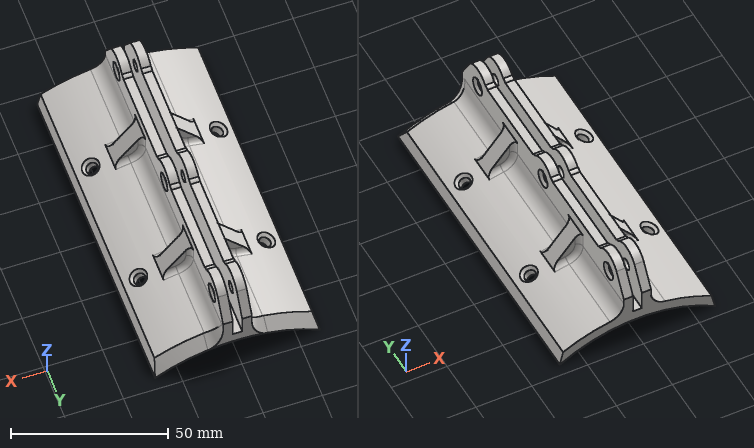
import cadquery as cq
import math

length = 112.0
height = 30.2

base_width = 55.7
base_top_width = 53.3
base_rise = 8.0
base_thickness = 4.0

upright_width = 9.7
slot_width = 3.1
slot_floor_height = 12.0
root_radius = 6.0
upright_height = 27.1
end_height = 19.0
lug_radius = 7.0
lug_blend_radius = 2.0
lug_spacing = 45.2
lug_shoulder_offset = 5.6

rib_width = 6.2
rib_fillet = 1.9
rib_spacing = lug_spacing
rib_top_height = 22.1
rib_reach = 14.9

hole_diameter = 4.0
sink_diameter = 6.3
lug_hole_height = 22.2
base_hole_offset = 21.6
hole_depth = 4.5

hole_rise = 0.6
bevel_clearance = 5.6
edge_margin = 0.1

half_length = length / 2
base_half_width = base_width / 2
base_top_half_width = base_top_width / 2
inner_radius = (base_half_width**2 + base_rise**2) / (2 * base_rise)
outer_radius = inner_radius + base_thickness
axis_height = base_rise - inner_radius
upright_half = upright_width / 2
lug_centre_height = height - lug_radius
lug_positions = (-lug_spacing, 0, lug_spacing)
rib_positions = (-rib_spacing / 2, rib_spacing / 2)
root_top_height = axis_height + math.sqrt(
    (outer_radius + root_radius) ** 2 - (upright_half + root_radius) ** 2
)


def outer_height(x):
    """Height of the outer base surface at distance x from mid-width."""
    return axis_height + math.sqrt(outer_radius**2 - x**2)


def extrude_along_y(outline, y_start, y_end):
    """Extrude an outline drawn on XZ between two Y positions."""
    return outline.extrude(y_end - y_start).translate((0, y_end, 0))


def make_upright(y_start, y_end):
    """Unslotted upright block between two Y positions."""
    outline = (
        cq.Workplane("XZ")
        .moveTo(-upright_half, 0)
        .lineTo(upright_half, 0)
        .lineTo(upright_half, height)
        .lineTo(-upright_half, height)
        .close()
    )
    return extrude_along_y(outline, y_start, y_end)


def fillet_upright_root(blank):
    """Fillet both edges where the sides of the upright rise from the base."""
    for side in (-1, 1):
        root_edge = cq.selectors.BoxSelector(
            (side * upright_half - edge_margin, -half_length, edge_margin),
            (side * upright_half + edge_margin, half_length, outer_height(0)),
        )
        blank = blank.edges(root_edge).fillet(root_radius)
    return blank


def make_base():
    """Solid base with the upright filleted to it, before the underside is hollowed."""
    top_edge_height = outer_height(base_top_half_width)
    outline = (
        cq.Workplane("XZ")
        .moveTo(-base_half_width, 0)
        .lineTo(base_half_width, 0)
        .lineTo(base_top_half_width, top_edge_height)
        .threePointArc((0, outer_height(0)), (-base_top_half_width, top_edge_height))
        .close()
    )
    base = extrude_along_y(outline, -half_length, half_length)
    return fillet_upright_root(base.union(make_upright(-half_length, half_length)))


def make_end_bevel():
    """Material outside a 45 degree cone at the +Y end; the root fillet follows the cone."""
    y_start = half_length - base_thickness - bevel_clearance
    y_end = half_length + bevel_clearance
    section = (
        cq.Workplane("XY")
        .moveTo(0, y_start)
        .lineTo(inner_radius + half_length - y_start, y_start)
        .lineTo(inner_radius + half_length - y_end, y_end)
        .lineTo(0, y_end)
        .close()
    )
    cone = section.revolve(360, (0, 0, 0), (0, 1, 0)).translate((0, 0, axis_height))
    kept = fillet_upright_root(cone.union(make_upright(y_start, y_end)))
    end_zone = cq.Workplane("XY").box(2 * base_half_width, y_end - y_start, 2 * height)
    return end_zone.translate((0, (y_start + y_end) / 2, 0)).cut(kept)


def make_rib(side, y):
    """Wedge leaning on the upright, with its foot on the base."""
    foot_height = outer_height(rib_reach)
    outline = (
        cq.Workplane("XZ")
        .moveTo(0, rib_top_height)
        .lineTo(side * upright_half, rib_top_height)
        .lineTo(side * rib_reach, foot_height)
        .lineTo(0, foot_height)
        .close()
    )
    return extrude_along_y(outline, y - rib_width / 2, y + rib_width / 2)


def fillet_ribs(blank):
    """Fillet each rib side into the upright, along the root fillet and down the base."""
    for y in rib_positions:
        for side in (-1, 1):
            for face_y in (y - rib_width / 2, y + rib_width / 2):
                corner_on_upright = cq.selectors.BoxSelector(
                    (side * upright_half - edge_margin, face_y - edge_margin, root_top_height),
                    (side * upright_half + edge_margin, face_y + edge_margin, rib_top_height),
                )
                blank = blank.edges(corner_on_upright).fillet(rib_fillet)
    return blank


def make_side_silhouette():
    """Outline of the part along Y: sloped ends, flat top and three blended lugs."""
    centre_distance = lug_radius + lug_blend_radius
    blend_centre_height = upright_height + lug_blend_radius
    blend_reach = math.sqrt(centre_distance**2 - (blend_centre_height - lug_centre_height) ** 2)
    lug_share = lug_radius / centre_distance
    blend_start = blend_reach * lug_share
    blend_start_height = lug_centre_height + (blend_centre_height - lug_centre_height) * lug_share
    last_shoulder = lug_positions[-1] + lug_shoulder_offset
    shoulder_height = lug_centre_height + math.sqrt(lug_radius**2 - lug_shoulder_offset**2)

    outline = (
        cq.Workplane("YZ")
        .moveTo(-half_length, 0)
        .lineTo(-half_length, end_height)
        .lineTo(lug_positions[0] - lug_shoulder_offset, shoulder_height)
    )
    for y in lug_positions:
        if y > lug_positions[0]:
            outline = outline.lineTo(y - blend_reach, upright_height)
            outline = outline.radiusArc((y - blend_start, blend_start_height), lug_blend_radius)
        if y < lug_positions[-1]:
            outline = outline.threePointArc((y, height), (y + blend_start, blend_start_height))
            outline = outline.radiusArc((y + blend_reach, upright_height), lug_blend_radius)
    outline = (
        outline.threePointArc((lug_positions[-1], height), (last_shoulder, shoulder_height))
        .lineTo(half_length, end_height)
        .lineTo(half_length, 0)
        .close()
    )
    return outline.extrude(base_half_width, both=True)


def make_slot():
    slot = cq.Workplane("XY").box(slot_width, length, height, centered=(True, True, False))
    return slot.translate((0, 0, slot_floor_height))


def make_underside():
    cylinder = cq.Workplane("XZ").center(0, axis_height).circle(inner_radius)
    return extrude_along_y(cylinder, -half_length, half_length)


def make_countersunk_hole(mouth, inward):
    """Cutter for a hole with a 90 degree countersink, entering at mouth and running inward."""
    sink_radius = sink_diameter / 2
    hole_radius = hole_diameter / 2
    bore = cq.Solid.makeCylinder(hole_radius, hole_depth + hole_rise, mouth - inward * hole_rise, inward)
    sink = cq.Solid.makeCone(
        sink_radius + hole_rise,
        hole_radius,
        sink_radius + hole_rise - hole_radius,
        mouth - inward * hole_rise,
        inward,
    )
    return cq.Workplane(obj=bore).union(cq.Workplane(obj=sink))


def make_lug_holes():
    holes = cq.Workplane("XY")
    for y in lug_positions:
        for side in (-1, 1):
            mouth = cq.Vector(side * upright_half, y, lug_hole_height)
            holes = holes.add(make_countersunk_hole(mouth, cq.Vector(-side, 0, 0)))
    return holes.combine()


def make_base_holes():
    """Holes square to the curved base, pointing at its axis."""
    tilt = math.asin(base_hole_offset / outer_radius)
    holes = cq.Workplane("XY")
    for y in rib_positions:
        for side in (-1, 1):
            mouth = cq.Vector(side * base_hole_offset, y, outer_height(base_hole_offset))
            inward = cq.Vector(-side * math.sin(tilt), 0, -math.cos(tilt))
            holes = holes.add(make_countersunk_hole(mouth, inward))
    return holes.combine()


body = make_base()
for rib_y in rib_positions:
    for rib_side in (-1, 1):
        body = body.union(make_rib(rib_side, rib_y))
body = fillet_ribs(body)
body = body.cut(make_end_bevel())
body = body.intersect(make_side_silhouette())
body = body.cut(make_underside())
body = body.cut(make_slot())
body = body.cut(make_lug_holes())
result = body.cut(make_base_holes())